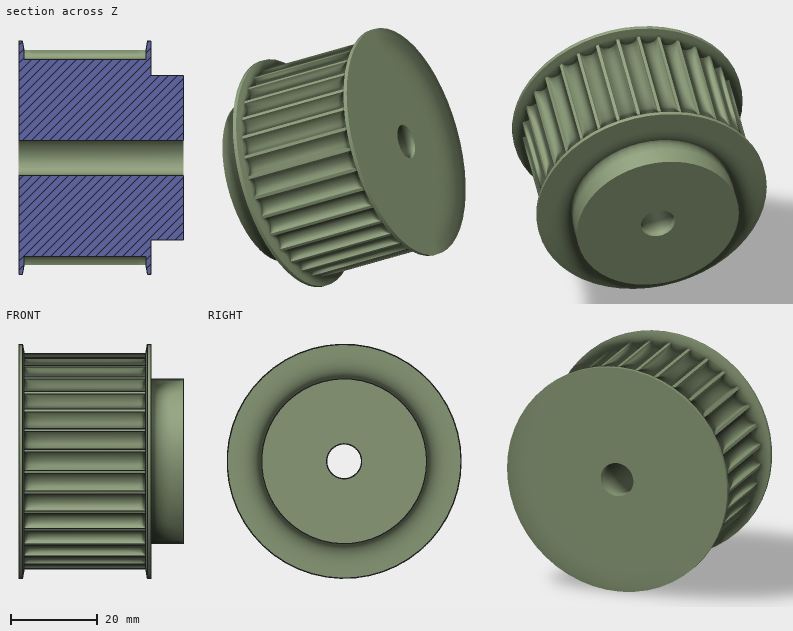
import cadquery as cq
import math

FLANGE_DIAMETER = 54.0
FLANGE_WIDTH = 1.25
FLANGE_RIM_WIDTH = 0.85
HUB_DIAMETER = 38.0
HUB_LENGTH = 7.5
TOTAL_LENGTH = 38.0
BORE_DIAMETER = 8.0

TOOTH_COUNT = 32
TIP_DIAMETER = 49.8
TOOTH_LAND_WIDTH = 0.7
GROOVE_DEPTH = 2.1

tip_radius = TIP_DIAMETER / 2
flange_radius = FLANGE_DIAMETER / 2
pulley_width = TOTAL_LENGTH - HUB_LENGTH
belt_width = pulley_width - 2 * FLANGE_WIDTH
tooth_angle = 360.0 / TOOTH_COUNT


def make_blank():
    """Revolve the pulley body, both bevelled flanges and the hub."""
    profile = [
        (0, 0),
        (0, flange_radius),
        (FLANGE_RIM_WIDTH, flange_radius),
        (FLANGE_WIDTH, tip_radius),
        (pulley_width - FLANGE_WIDTH, tip_radius),
        (pulley_width - FLANGE_RIM_WIDTH, flange_radius),
        (pulley_width, flange_radius),
        (pulley_width, HUB_DIAMETER / 2),
        (TOTAL_LENGTH, HUB_DIAMETER / 2),
        (TOTAL_LENGTH, 0),
    ]
    return cq.Workplane("XY").polyline(profile).close().revolve(360, (0, 0, 0), (1, 0, 0))


def make_grooves():
    """Round-bottomed belt grooves between the flanges, one centred on the +Y direction."""
    pitch_arc = math.pi * TIP_DIAMETER / TOOTH_COUNT
    half_groove_angle = (pitch_arc - TOOTH_LAND_WIDTH) / TIP_DIAMETER
    edge_y = tip_radius * math.cos(half_groove_angle)
    edge_z = tip_radius * math.sin(half_groove_angle)
    groove = (
        cq.Workplane("YZ", origin=(FLANGE_WIDTH, 0, 0))
        .moveTo(edge_y, -edge_z)
        .threePointArc((tip_radius - GROOVE_DEPTH, 0), (edge_y, edge_z))
        .threePointArc((tip_radius, 0), (edge_y, -edge_z))
        .close()
        .extrude(belt_width)
        .val()
    )
    axis_start = cq.Vector(0, 0, 0)
    axis_end = cq.Vector(1, 0, 0)
    return [groove.rotate(axis_start, axis_end, i * tooth_angle) for i in range(TOOTH_COUNT)]


def make_bore():
    """Shaft bore through the full length."""
    return cq.Workplane("YZ").circle(BORE_DIAMETER / 2).extrude(TOTAL_LENGTH)


grooves = cq.Compound.makeCompound(make_grooves())
result = make_blank().cut(cq.Workplane(grooves)).cut(make_bore())